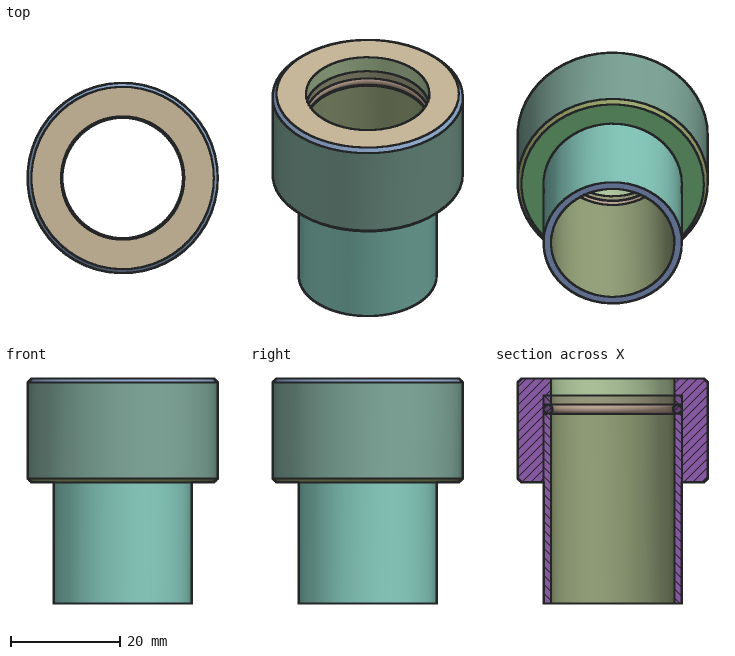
import cadquery as cq

total_height = 41.25
collar_diameter = 34.9
collar_height = 19.05
collar_chamfer = 0.75

opening_diameter = 22.6
seal_inner_diameter = 22.1
socket_diameter = 25.4

collar_lip_height = 3.18
spacer_height = 1.65
seal_section_diameter = (socket_diameter - seal_inner_diameter) / 2

collar_bottom = total_height - collar_height
spacer_top = total_height - collar_lip_height
seal_top = spacer_top - spacer_height
tube_top = seal_top - seal_section_diameter


def make_tube(outer_diameter, inner_diameter, bottom, top):
    """Straight hollow cylinder between two heights on the Z axis."""
    return (
        cq.Workplane("XY")
        .workplane(offset=bottom)
        .circle(outer_diameter / 2)
        .circle(inner_diameter / 2)
        .extrude(top - bottom)
    )


def make_collar():
    """Chamfered collar with a top lip over the open-bottomed socket."""
    blank = (
        cq.Workplane("XY")
        .workplane(offset=collar_bottom)
        .circle(collar_diameter / 2)
        .extrude(collar_height)
        .edges("%CIRCLE")
        .chamfer(collar_chamfer)
    )
    opening = (
        cq.Workplane("XY")
        .workplane(offset=collar_bottom)
        .circle(opening_diameter / 2)
        .extrude(collar_height)
    )
    socket = (
        cq.Workplane("XY")
        .workplane(offset=collar_bottom)
        .circle(socket_diameter / 2)
        .extrude(spacer_top - collar_bottom)
    )
    return blank.cut(opening).cut(socket)


def make_seal():
    """Round-section seal resting on the tube end, below the spacer."""
    section_radius = seal_section_diameter / 2
    ring_radius = seal_inner_diameter / 2 + section_radius
    ring_height = tube_top + section_radius
    return (
        cq.Workplane("XZ")
        .center(ring_radius, ring_height)
        .circle(section_radius)
        .revolve(360, (-ring_radius, 0), (-ring_radius, 1))
    )


collar = make_collar()
spacer = make_tube(socket_diameter, opening_diameter, seal_top, spacer_top)
seal = make_seal()
tube = make_tube(socket_diameter, opening_diameter, 0, tube_top)

result = cq.Compound.makeCompound([collar.val(), spacer.val(), seal.val(), tube.val()])